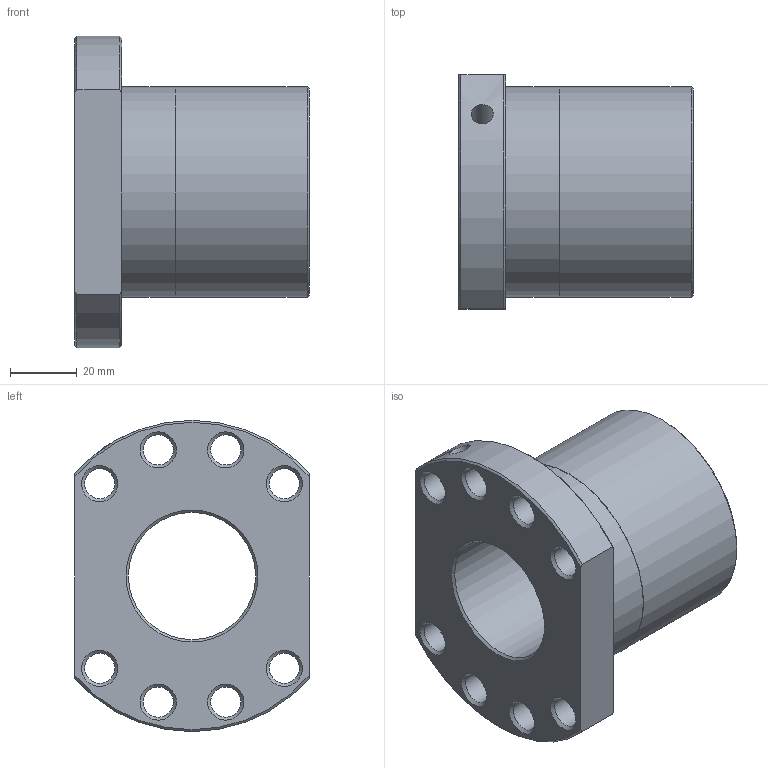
import cadquery as cq
import math

flange_diameter = 93.0
flange_width = 70.0
flange_thickness = 14.0
flange_chamfer = 0.6

overall_length = 70.0
barrel_diameter = 63.0
pilot_relief = 0.2
pilot_diameter = barrel_diameter - pilot_relief
pilot_end = 30.0
barrel_chamfer = 0.6

bore_diameter = 38.0
bore_chamfer = 0.7

bolt_circle_diameter = 78.0
bolt_hole_diameter = 9.0
bolt_hole_chamfer = 0.9
bolt_angles = (45, 75, 105, 135, 225, 255, 285, 315)

oil_port_diameter = 6.65
oil_port_angle = 60.0


def cylinder(diameter, start, end):
    """Cylinder along the X axis between two X positions."""
    return cq.Workplane("YZ").workplane(offset=start).circle(diameter / 2).extrude(end - start)


def make_flange():
    """Disc with chamfered rims, cut to two flats on +Y and -Y."""
    disc = cylinder(flange_diameter, 0, flange_thickness).edges().chamfer(flange_chamfer)
    flat_block = cq.Workplane("XY").box(2 * flange_thickness, flange_width, flange_diameter)
    return disc.intersect(flat_block)


def make_barrel():
    """Relieved pilot followed by the fit diameter, chamfered at the free end."""
    pilot = cylinder(pilot_diameter, flange_thickness, pilot_end)
    fit = cylinder(barrel_diameter, pilot_end, overall_length)
    fit = fit.faces(">X").edges().chamfer(barrel_chamfer)
    return pilot.union(fit)


def hole_cutter(diameter, chamfer, length):
    """Through hole along X with its -X mouth chamfered, centred on the X axis."""
    radius = diameter / 2
    profile = [
        (0, 0),
        (0, radius + chamfer),
        (chamfer, radius),
        (length, radius),
        (length, 0),
    ]
    return cq.Workplane("XY").polyline(profile).close().revolve(360, (0, 0), (1, 0))


def make_bolt_hole(angle):
    """Cutter for one mounting hole on the bolt circle."""
    radius = bolt_circle_diameter / 2
    y = radius * math.cos(math.radians(angle))
    z = radius * math.sin(math.radians(angle))
    return hole_cutter(bolt_hole_diameter, bolt_hole_chamfer, flange_thickness).translate((0, y, z))


def make_oil_port():
    """Radial hole from the flange rim through to the bore."""
    angle = math.radians(oil_port_angle)
    outward = cq.Vector(0, math.cos(angle), math.sin(angle))
    start = cq.Vector(flange_thickness / 2, 0, 0)
    return cq.Solid.makeCylinder(oil_port_diameter / 2, flange_diameter / 2, start, outward)


result = make_flange().union(make_barrel())
result = result.cut(hole_cutter(bore_diameter, bore_chamfer, overall_length))
for bolt_angle in bolt_angles:
    result = result.cut(make_bolt_hole(bolt_angle))
result = result.cut(make_oil_port())